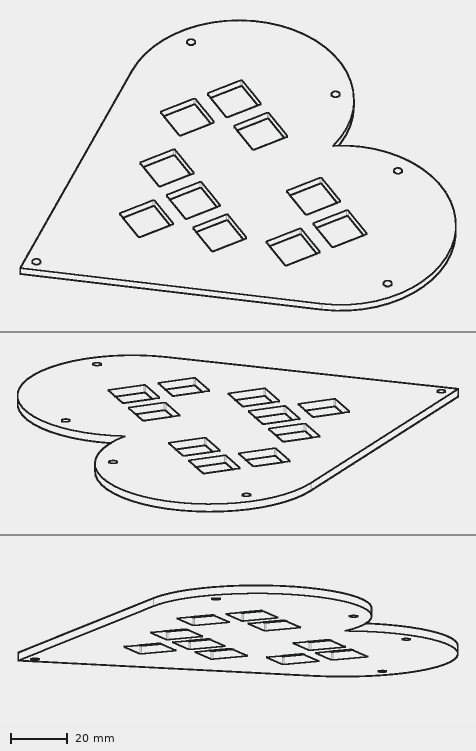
import cadquery as cq
import math

width = 154.6
length = 150.1
thickness = 3.0
lobe_radius = 40.7
lobe_x = width / 2 - lobe_radius
lobe_y = length / 2 - lobe_radius
tip_y = -length / 2

window_size = 14.0
window_pitch = 19.0
window_corner_radius = 0.5
top_row_y = 33.2
window_columns_by_row = [(-2, -1, 1, 2), (-2, 2), (-1, 0, 1), (0,)]

hole_diameter = 3.0
side_hole_x = 70.7
side_hole_y = 34.2
cleft_hole_x = 22.4
cleft_hole_y = 65.5
tip_hole_y = -68.5


def heart_plate():
    """Heart outline, symmetric about the YZ plane, extruded upward."""
    cleft_y = lobe_y + math.sqrt(lobe_radius**2 - lobe_x**2)

    tip_distance = math.hypot(lobe_x, lobe_y - tip_y)
    angle_to_tip = math.atan2(tip_y - lobe_y, -lobe_x)
    tangent_angle = angle_to_tip + math.acos(lobe_radius / tip_distance)
    tangent_x = lobe_x + lobe_radius * math.cos(tangent_angle)
    tangent_y = lobe_y + lobe_radius * math.sin(tangent_angle)

    mid_offset = lobe_radius * math.sqrt(0.5)
    mid_x = lobe_x + mid_offset
    mid_y = lobe_y + mid_offset

    return (
        cq.Workplane("XY")
        .moveTo(0, tip_y)
        .lineTo(tangent_x, tangent_y)
        .threePointArc((mid_x, mid_y), (0, cleft_y))
        .threePointArc((-mid_x, mid_y), (-tangent_x, tangent_y))
        .close()
        .extrude(thickness)
    )


def windows():
    """Square cutters with slightly rounded corners."""
    centers = [
        (column * window_pitch, top_row_y - row * window_pitch)
        for row, columns in enumerate(window_columns_by_row)
        for column in columns
    ]
    return (
        cq.Workplane("XY")
        .pushPoints(centers)
        .rect(window_size, window_size)
        .extrude(thickness)
        .edges("|Z")
        .fillet(window_corner_radius)
    )


def mounting_holes():
    """Round cutters: a mirrored pair on each lobe and one at the tip."""
    centers = [(0, tip_hole_y)]
    for side in (-1, 1):
        centers.append((side * side_hole_x, side_hole_y))
        centers.append((side * cleft_hole_x, cleft_hole_y))
    return cq.Workplane("XY").pushPoints(centers).circle(hole_diameter / 2).extrude(thickness)


result = heart_plate().cut(windows()).cut(mounting_holes())